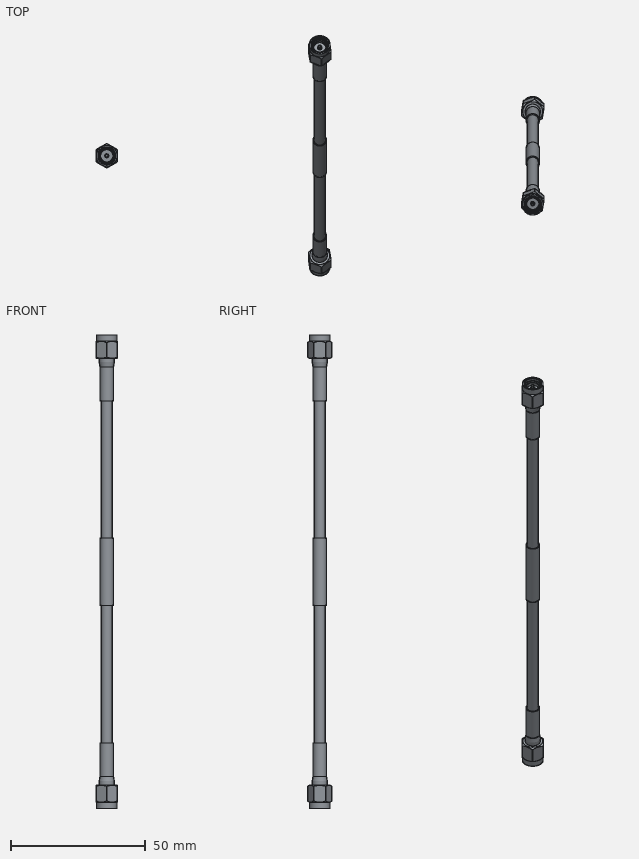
import cadquery as cq
import math

total_length = 176.0
half_length = total_length / 2

cable_diameter = 4.2
sleeve_diameter = 5.1
middle_sleeve_length = 25.0
end_sleeve_length = 12.5

hex_across_flats = 8.0
hex_across_corners = 9.0
hex_rear_face_diameter = 7.4
hex_chamfer_height = 0.5
lip_diameter = 7.7
lip_length = 2.3
hex_length = 6.5
collar_diameter = 5.6
collar_length = 1.4
taper_length = 1.8

bore_mouth_diameter = 6.7
counterbore_diameter = 6.3
counterbore_depth = 1.0
bore_diameter = 5.6
bore_depth = 5.3
shell_diameter = 5.0
shell_bore_diameter = 4.5
shell_face = 1.4
insulator_face = 2.6
pin_shoulder_diameter = 1.51
pin_shoulder_face = 2.0
pin_diameter = 0.92
pin_face = 0.9

bore_mouth_chamfer = (bore_mouth_diameter - counterbore_diameter) / 2
hex_end = lip_length + hex_length
collar_end = hex_end + collar_length
connector_length = collar_end + taper_length


def rod(diameter, start, length):
    """Round bar along Z with its lower face at height start."""
    return cq.Workplane("XY").workplane(offset=start).circle(diameter / 2).extrude(length)


def cone(start_diameter, end_diameter, start, length):
    """Truncated cone along Z with its lower face at height start."""
    return (
        cq.Workplane("XY")
        .workplane(offset=start)
        .circle(start_diameter / 2)
        .workplane(offset=length)
        .circle(end_diameter / 2)
        .loft(ruled=True)
    )


def sleeve(start, length):
    """Tube that fits closely around the cable."""
    return rod(sleeve_diameter, start, length).cut(rod(cable_diameter, start, length))


def hex_nut():
    """Hexagon with flats facing X, its corners turned round and both ends chamfered."""
    hexagon = (
        cq.Workplane("XY")
        .workplane(offset=lip_length)
        .polygon(6, hex_across_flats / math.cos(math.pi / 6))
        .extrude(hex_length)
        .rotate((0, 0, 0), (0, 0, 1), 30)
    )
    front_chamfer_width = (hex_across_corners - lip_diameter) / 2
    rear_chamfer_width = (hex_across_corners - hex_rear_face_diameter) / 2
    turned = (
        rod(hex_across_corners, lip_length, hex_length)
        .faces("<Z")
        .chamfer(hex_chamfer_height, front_chamfer_width)
        .faces(">Z")
        .chamfer(hex_chamfer_height, rear_chamfer_width)
    )
    return hexagon.intersect(turned)


def connector():
    """Plug with its open end at Z = 0 and its cable end toward +Z."""
    lip = rod(lip_diameter, 0, lip_length)
    collar = rod(collar_diameter, hex_end, collar_length)
    rear_taper = cone(collar_diameter, sleeve_diameter, collar_end, taper_length)
    body = hex_nut().union(lip).union(collar).union(rear_taper)
    bore = rod(bore_diameter, 0, bore_depth)
    counterbore = rod(counterbore_diameter, 0, counterbore_depth)
    mouth = cone(bore_mouth_diameter, counterbore_diameter, 0, bore_mouth_chamfer)
    body = body.cut(bore).cut(counterbore).cut(mouth)

    shell = rod(shell_diameter, shell_face, bore_depth - shell_face)
    shell = shell.cut(rod(shell_bore_diameter, shell_face, insulator_face - shell_face))
    pin = rod(pin_diameter, pin_face, bore_depth - pin_face)
    shoulder = rod(pin_shoulder_diameter, pin_shoulder_face, bore_depth - pin_shoulder_face)
    return body.union(shell).union(shoulder).union(pin)


def place_at_end(body, end):
    """Move a body from the Z = 0 end to the lower (-1) or upper (+1) end of the assembly."""
    if end > 0:
        body = body.rotate((0, 0, 0), (1, 0, 0), 180)
    return body.translate((0, 0, end * half_length))


cable = rod(cable_diameter, connector_length - half_length, total_length - 2 * connector_length)
middle_sleeve = sleeve(-middle_sleeve_length / 2, middle_sleeve_length)

connectors = []
end_sleeves = []
for end in (-1, 1):
    connectors.append(place_at_end(connector(), end))
    end_sleeves.append(place_at_end(sleeve(connector_length, end_sleeve_length), end))

bodies = [cable, middle_sleeve, *connectors, *end_sleeves]
result = cq.Compound.makeCompound([body.val() for body in bodies])